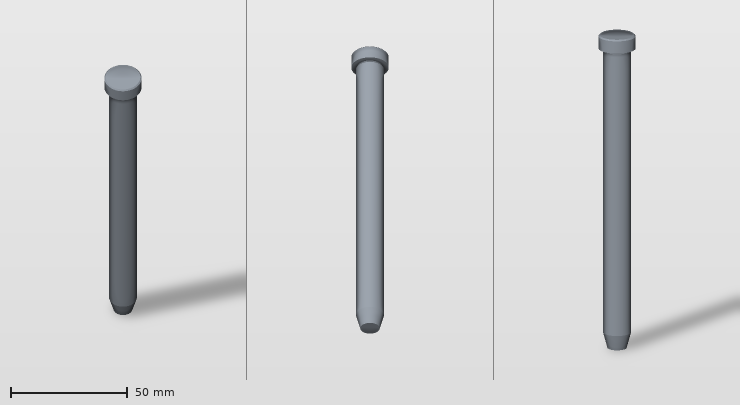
import cadquery as cq

total_length = 140.0
head_diameter = 16.0
head_height = 6.0
head_chamfer = 0.5
shank_diameter = 12.0
neck_diameter = 11.2
neck_height = 0.5
tip_diameter = 8.3
tip_length = 7.0

shank_chamfer = (shank_diameter - neck_diameter) / 2
head_bottom = total_length - head_height
shank_top = head_bottom - neck_height


def cylinder(diameter, bottom, top):
    """Solid cylinder on the Z axis between two heights."""
    return cq.Workplane("XY").workplane(offset=bottom).circle(diameter / 2).extrude(top - bottom)


tip = (
    cq.Workplane("XY")
    .circle(tip_diameter / 2)
    .workplane(offset=tip_length)
    .circle(shank_diameter / 2)
    .loft(ruled=True)
)

shank = cylinder(shank_diameter, tip_length, shank_top).faces(">Z").chamfer(shank_chamfer)

neck = cylinder(neck_diameter, shank_top, head_bottom)

head = cylinder(head_diameter, head_bottom, total_length).faces(">Z").chamfer(head_chamfer)

result = tip.union(shank).union(neck).union(head)